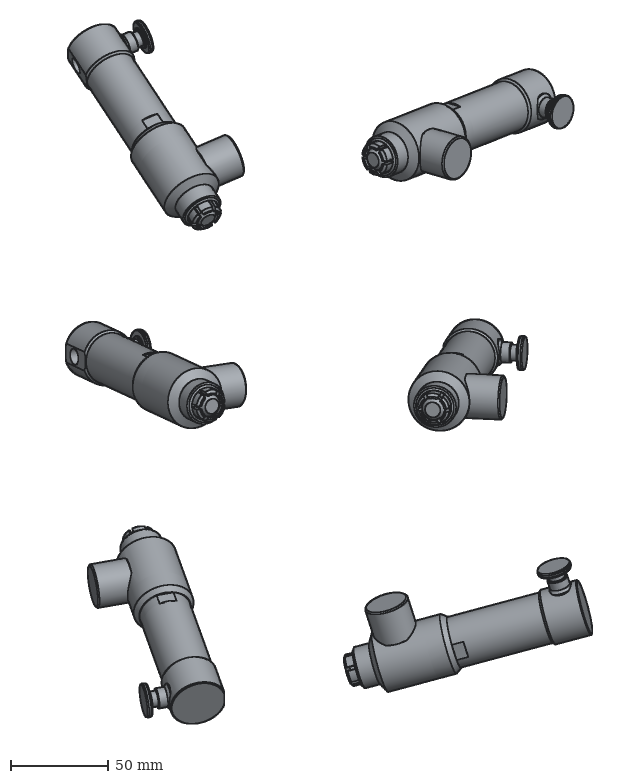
import cadquery as cq
import math

CAP_BEVEL_X = 19.6
TUBE_START_X = 20.7
NECK_START_X = 63.6
HEAD_START_X = 69.8
HEAD_FULL_X = 72.9
HEAD_SEAM_X = 82.3
HEAD_TAPER_X = 109.4
NOSE_START_X = 112.3
COLLET_SEAT_X = 120.3
NOSE_END_X = 120.4
LIP_END_X = 121.6
CORE_BEVEL_X = 124.6
COLLET_BEVEL_X = 125.8
COLLET_END_X = 126.9
OVERALL_LENGTH = 127.2

CAP_DIA = 29.2
TUBE_DIA = 27.0
HEAD_START_DIA = 27.5
HEAD_DIA = 31.8
NOSE_DIA = 22.0
LIP_BASE_DIA = 19.8
LIP_RADIUS = 0.9
COLLET_RECESS_DIA = 17.3
COLLET_DIA = 16.8
COLLET_FACE_DIA = 13.9
CORE_DIA = 12.0
CORE_TIP_DIA = 8.0

CAP_CHAMFER = 0.5
CAP_FLAT_Y = -13.7
VALVE_X = 8.9
INLET_DIA = 8.4
INLET_DEPTH = 10.2

NECK_ACROSS_FLATS = 25.4

BOSS_BASE_DIA = 13.7
COLLAR_DIA = 10.7
COLLAR_START_Y = 15.1
COLLAR_END_Y = 20.0
COLLAR_CHAMFER = 0.4
STEM_DIA = 8.4
HUB_START_Y = 23.3
HUB_DIA = 10.7
HUB_BASE_DIA = 11.5
DISC_START_Y = 24.0
DISC_END_Y = 26.8
DISC_DIA = 17.8
DISC_EDGE_WIDTH = 1.1
DISC_EDGE_INSET = 0.4

PORT_DIA = 22.9
PORT_X = 97.0
PORT_START_Y = 12.2
PORT_END_Y = 31.4
PORT_CHAMFER = 0.8

SLOT_COUNT = 6
SLOT_WIDTH = 1.9


def turned_along_x(profile):
    """Revolve a closed profile of (x, radius) points about the X axis."""
    return cq.Workplane("XY").polyline(profile).close().revolve(360, (0, 0), (1, 0))


def turned_along_y(profile, axis_x):
    """Revolve a closed profile of (radius, y) points about an axis parallel to Y."""
    outline = cq.Workplane("XY", origin=(axis_x, 0, 0)).polyline(profile).close()
    return outline.revolve(360, (0, 0), (0, 1))


def make_rear_cap():
    """Chamfered cap with a flat on its -Y side."""
    cap_radius = CAP_DIA / 2
    cap = turned_along_x([
        (0, 0),
        (0, cap_radius - CAP_CHAMFER),
        (CAP_CHAMFER, cap_radius),
        (CAP_BEVEL_X, cap_radius),
        (TUBE_START_X, TUBE_DIA / 2),
        (TUBE_START_X, 0),
    ])
    flat_limit = cq.Workplane("XY").box(
        TUBE_START_X, CAP_DIA, CAP_DIA, centered=(False, False, True)
    ).translate((0, CAP_FLAT_Y, 0))
    return cap.intersect(flat_limit)


def make_neck():
    """Round neck with two wrench flats facing up and down."""
    length = HEAD_START_X - NECK_START_X
    neck = cq.Workplane("YZ", origin=(NECK_START_X, 0, 0)).circle(TUBE_DIA / 2).extrude(length)
    flats = cq.Workplane("XY").box(
        length, TUBE_DIA, NECK_ACROSS_FLATS, centered=(False, True, True)
    ).translate((NECK_START_X, 0, 0))
    return neck.intersect(flats)


def make_valve_knob():
    """Bevelled boss, collar, stem and edged disc rising from the cap towards +Y."""
    bevel_height = (BOSS_BASE_DIA - COLLAR_DIA) / 2
    disc_edge_height = (DISC_END_Y - DISC_START_Y - DISC_EDGE_WIDTH) / 2
    disc_face_radius = DISC_DIA / 2 - DISC_EDGE_INSET
    return turned_along_y([
        (0, 0),
        (BOSS_BASE_DIA / 2, 0),
        (BOSS_BASE_DIA / 2, COLLAR_START_Y - bevel_height),
        (COLLAR_DIA / 2, COLLAR_START_Y),
        (COLLAR_DIA / 2, COLLAR_END_Y - COLLAR_CHAMFER),
        (COLLAR_DIA / 2 - COLLAR_CHAMFER, COLLAR_END_Y),
        (STEM_DIA / 2, COLLAR_END_Y),
        (STEM_DIA / 2, HUB_START_Y),
        (HUB_DIA / 2, HUB_START_Y),
        (HUB_BASE_DIA / 2, DISC_START_Y),
        (disc_face_radius, DISC_START_Y),
        (DISC_DIA / 2, DISC_START_Y + disc_edge_height),
        (DISC_DIA / 2, DISC_END_Y - disc_edge_height),
        (disc_face_radius, DISC_END_Y),
        (0, DISC_END_Y),
    ], VALVE_X)


def make_inlet_hole():
    """Blind hole entering the flat of the cap from -Y."""
    sketch = cq.Workplane("XZ", origin=(VALVE_X, CAP_FLAT_Y, 0)).circle(INLET_DIA / 2)
    return sketch.extrude(-INLET_DEPTH)


def make_side_port():
    """Chamfered round port towards +Y; its flat inner end overhangs the round head."""
    sketch = cq.Workplane("XZ", origin=(PORT_X, PORT_START_Y, 0)).circle(PORT_DIA / 2)
    port = sketch.extrude(PORT_START_Y - PORT_END_Y)
    return port.faces(">Y").chamfer(PORT_CHAMFER)


def make_collet_slots():
    """Radial slots spaced evenly round the collet nut, as deep as the core surface."""
    length = COLLET_END_X - COLLET_SEAT_X
    slots = cq.Workplane("XY")
    for index in range(SLOT_COUNT):
        slot = cq.Workplane("XY").box(length, COLLET_DIA, SLOT_WIDTH, centered=(False, False, True))
        slot = slot.rotate((0, 0, 0), (1, 0, 0), index * 360 / SLOT_COUNT)
        slots = slots.add(slot.translate((COLLET_SEAT_X, 0, 0)))
    return slots.combine()


def make_collet():
    """Slotted nut and its tapered core in one solid, seated in the recess of the nose."""
    nut = turned_along_x([
        (COLLET_SEAT_X, CORE_DIA / 2),
        (COLLET_SEAT_X, COLLET_DIA / 2),
        (COLLET_BEVEL_X, COLLET_DIA / 2),
        (COLLET_END_X, COLLET_FACE_DIA / 2),
        (COLLET_END_X, CORE_DIA / 2),
    ])
    core = turned_along_x([
        (COLLET_SEAT_X, 0),
        (COLLET_SEAT_X, CORE_DIA / 2),
        (CORE_BEVEL_X, CORE_DIA / 2),
        (OVERALL_LENGTH, CORE_TIP_DIA / 2),
        (OVERALL_LENGTH, 0),
    ])
    return nut.cut(make_collet_slots()).union(core)


def make_tube():
    """Plain round tube between the cap and the neck."""
    tube = cq.Workplane("YZ", origin=(TUBE_START_X, 0, 0)).circle(TUBE_DIA / 2)
    return tube.extrude(NECK_START_X - TUBE_START_X)


def make_head_rear():
    """Flared rear section of the head, up to the seam."""
    return turned_along_x([
        (HEAD_START_X, 0),
        (HEAD_START_X, HEAD_START_DIA / 2),
        (HEAD_FULL_X, HEAD_DIA / 2),
        (HEAD_SEAM_X, HEAD_DIA / 2),
        (HEAD_SEAM_X, 0),
    ])


def make_head_front():
    """Head and nose; a rounded lip at the nose end leaves a gap round the collet."""
    recess_radius = COLLET_RECESS_DIA / 2
    lip_base_x = LIP_END_X - LIP_RADIUS
    lip_centre_radius = LIP_BASE_DIA / 2 - LIP_RADIUS
    lip_inner_x = lip_base_x + math.sqrt(LIP_RADIUS**2 - (lip_centre_radius - recess_radius)**2)
    profile = (
        cq.Workplane("XY")
        .moveTo(HEAD_SEAM_X, 0)
        .lineTo(HEAD_SEAM_X, HEAD_DIA / 2)
        .lineTo(HEAD_TAPER_X, HEAD_DIA / 2)
        .lineTo(NOSE_START_X, NOSE_DIA / 2)
        .lineTo(NOSE_END_X, NOSE_DIA / 2)
        .lineTo(lip_base_x, LIP_BASE_DIA / 2)
        .threePointArc((LIP_END_X, lip_centre_radius), (lip_inner_x, recess_radius))
        .lineTo(COLLET_SEAT_X, recess_radius)
        .lineTo(COLLET_SEAT_X, 0)
        .close()
    )
    return profile.revolve(360, (0, 0), (1, 0))


def make_housing():
    """All the fixed sections in one solid; the seams between flush sections are kept."""
    sections = [
        make_tube(),
        make_neck(),
        make_head_rear(),
        make_head_front(),
        make_side_port(),
        make_valve_knob(),
    ]
    housing = make_rear_cap()
    for section in sections:
        housing = housing.union(section, clean=False)
    return housing.cut(make_inlet_hole(), clean=False)


housing = make_housing()
collet = make_collet()

result = cq.Compound.makeCompound([housing.val(), collet.val()])